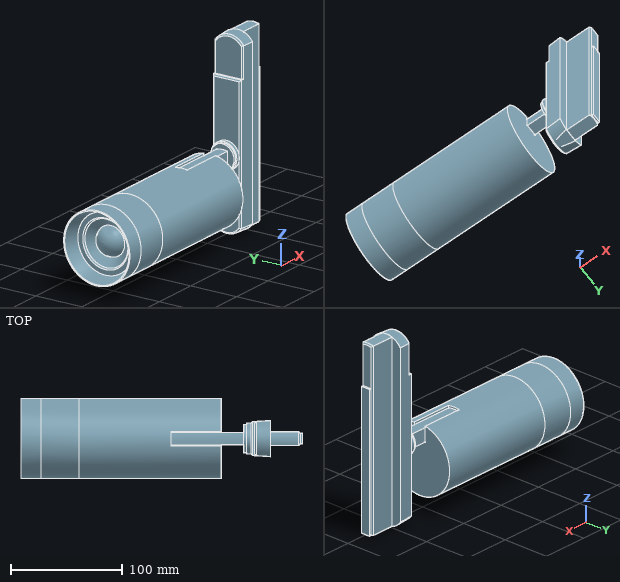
import cadquery as cq
import math

BARREL_DIA = 72.0
NOSE_LENGTH = 18.0
BARREL_SPLIT_X = 52.4
BARREL_END_X = 180.0

MOUTH_DIA = 69.8
STEP_DIA = 60.0
WINDOW_FRONT_DIA = 49.3
WINDOW_BACK_DIA = 46.5
STEP_DEPTH = 14.0
WINDOW_DEPTH = 15.5

LENS_DIA = 52.5
LENS_THICKNESS = 15.2
LENS_BACK_X = WINDOW_DEPTH + LENS_THICKNESS
DISH_DEPTH = 7.0
DOME_BASE_DIA = 30.0
DOME_RADIUS = 15.5
TIP_FLAT_DIA = 3.3

SLOT_START_X = 134.5
SLOT_WIDTH = 13.0
ARM_WIDTH = 11.5
ARM_BOTTOM_Z = 19.0
ARM_TOP_RADIUS = 34.0

COLLAR_Z = 26.5
COLLAR_START_X = 200.0
COLLAR_STEP_X = 202.5
COLLAR_SMALL_DIA = 25.5
COLLAR_LARGE_DIA = 28.0

ADAPTER_TOP_Z = 141.6
ADAPTER_HEIGHT = 190.5
ADAPTER_BOTTOM_Z = ADAPTER_TOP_Z - ADAPTER_HEIGHT
END_RADIUS = 19.7
BOTTOM_FLAT = 1.3
ARC_BOTTOM_Z = ADAPTER_BOTTOM_Z - BOTTOM_FLAT

COVER_WIDTH = 32.6
COVER_FRONT_X = 206.6
COVER_UPPER_X = 210.0
COVER_BACK_X = 224.3
COVER_STEP_Z = 101.0
COVER_DRAFT = 3.5
COVER_CHAMFER = 1.5

BLADE_WIDTH = 12.6
BLADE_BACK_X = 251.0
BLADE_CHAMFER = 1.5
STRIP_WIDTH = 9.5
STRIP_TOP_Z = 98.1
STRIP_BACK_X = 253.0


def x_cylinder(diameter, start_x, end_x, z=0):
    """Cylinder parallel to the X axis."""
    return cq.Workplane("YZ", origin=(start_x, 0, z)).circle(diameter / 2).extrude(end_x - start_x)


def block(start_x, end_x, width, bottom_z, top_z):
    """Box centred on Y = 0."""
    size = (end_x - start_x, width, top_z - bottom_z)
    return cq.Workplane("XY").box(*size, centered=(False, True, False)).translate((start_x, 0, bottom_z))


def adapter_outline(plane_x, width):
    """Tall outline with a round top and bottom, on a plane across the X axis."""
    half = width / 2
    shoulder = END_RADIUS - math.sqrt(END_RADIUS**2 - half**2)
    top_corner = ADAPTER_TOP_Z - shoulder
    bottom_corner = ARC_BOTTOM_Z + shoulder
    return (
        cq.Workplane("YZ", origin=(plane_x, 0, 0))
        .moveTo(half, bottom_corner)
        .lineTo(half, top_corner)
        .threePointArc((0, ADAPTER_TOP_Z), (-half, top_corner))
        .lineTo(-half, bottom_corner)
        .threePointArc((0, ARC_BOTTOM_Z), (half, bottom_corner))
        .close()
    )


def below_adapter():
    """Cutter that flattens the round bottom of the adapter."""
    return block(COVER_FRONT_X, STRIP_BACK_X, BARREL_DIA, 2 * ARC_BOTTOM_Z, ADAPTER_BOTTOM_Z)


def lens_seat():
    """Recess for the rim of the lens."""
    return x_cylinder(LENS_DIA, WINDOW_DEPTH, LENS_BACK_X)


def make_nose():
    """Front ring, revolved from its half section."""
    ring = (
        cq.Workplane("XY")
        .moveTo(0, MOUTH_DIA / 2)
        .lineTo(0, BARREL_DIA / 2)
        .lineTo(NOSE_LENGTH, BARREL_DIA / 2)
        .lineTo(NOSE_LENGTH, WINDOW_BACK_DIA / 2)
        .lineTo(WINDOW_DEPTH, WINDOW_BACK_DIA / 2)
        .lineTo(STEP_DEPTH, WINDOW_FRONT_DIA / 2)
        .lineTo(STEP_DEPTH, STEP_DIA / 2)
        .close()
        .revolve(360, (0, 0, 0), (1, 0, 0))
    )
    return ring.cut(lens_seat())


def make_lens():
    """Dished lens, revolved from its half section."""
    dome_base_x = WINDOW_DEPTH + DISH_DEPTH
    dome_centre_x = dome_base_x + math.sqrt(DOME_RADIUS**2 - (DOME_BASE_DIA / 2) ** 2)
    tip_flat_x = dome_centre_x - math.sqrt(DOME_RADIUS**2 - (TIP_FLAT_DIA / 2) ** 2)
    diagonal = DOME_RADIUS * math.sqrt(0.5)
    return (
        cq.Workplane("XY")
        .moveTo(tip_flat_x, 0)
        .lineTo(tip_flat_x, TIP_FLAT_DIA / 2)
        .threePointArc((dome_centre_x - diagonal, diagonal), (dome_base_x, DOME_BASE_DIA / 2))
        .lineTo(WINDOW_DEPTH, WINDOW_BACK_DIA / 2)
        .lineTo(WINDOW_DEPTH, LENS_DIA / 2)
        .lineTo(LENS_BACK_X, LENS_DIA / 2)
        .lineTo(LENS_BACK_X, 0)
        .close()
        .revolve(360, (0, 0, 0), (1, 0, 0))
    )


def make_middle_ring():
    return x_cylinder(BARREL_DIA, NOSE_LENGTH, BARREL_SPLIT_X).cut(lens_seat())


def make_barrel():
    body = x_cylinder(BARREL_DIA, BARREL_SPLIT_X, BARREL_END_X)
    slot = block(SLOT_START_X, BARREL_END_X, SLOT_WIDTH, ARM_BOTTOM_Z, BARREL_DIA)
    return body.cut(slot)


def make_arm():
    bar = block(SLOT_START_X, COLLAR_START_X, ARM_WIDTH, ARM_BOTTOM_Z, BARREL_DIA)
    round_top = x_cylinder(2 * ARM_TOP_RADIUS, SLOT_START_X, COLLAR_START_X)
    return bar.intersect(round_top)


def make_collar():
    small_step = x_cylinder(COLLAR_SMALL_DIA, COLLAR_START_X, COLLAR_STEP_X, COLLAR_Z)
    large_step = x_cylinder(COLLAR_LARGE_DIA, COLLAR_STEP_X, COVER_FRONT_X, COLLAR_Z)
    return small_step.union(large_step)


def cover_stage(front_x):
    """Drafted cover running from its back face to the given front face."""
    outline = adapter_outline(COVER_BACK_X, COVER_WIDTH)
    return outline.extrude(front_x - COVER_BACK_X, taper=COVER_DRAFT)


def make_cover():
    above_step = block(COVER_FRONT_X, COVER_BACK_X, BARREL_DIA, COVER_STEP_Z, 2 * ADAPTER_TOP_Z)
    upper = cover_stage(COVER_UPPER_X)
    upper = upper.faces("<X").edges().chamfer(COVER_CHAMFER)
    lower = cover_stage(COVER_FRONT_X).cut(above_step)
    lower = lower.faces("<X").edges().chamfer(COVER_CHAMFER)
    return upper.union(lower).cut(below_adapter())


def make_blade():
    depth = BLADE_BACK_X - COVER_BACK_X
    body = adapter_outline(COVER_BACK_X, BLADE_WIDTH).extrude(depth)
    body = body.faces(">X").edges().chamfer(BLADE_CHAMFER)
    strip = block(BLADE_BACK_X, STRIP_BACK_X, STRIP_WIDTH, ADAPTER_BOTTOM_Z, STRIP_TOP_Z)
    return body.cut(below_adapter()).union(strip)


nose = make_nose()
lens = make_lens()
middle_ring = make_middle_ring()
barrel = make_barrel()
arm = make_arm()
collar = make_collar()
cover = make_cover()
blade = make_blade()

bodies = [nose, lens, middle_ring, barrel, arm, collar, cover, blade]
result = cq.Compound.makeCompound([body.val() for body in bodies])